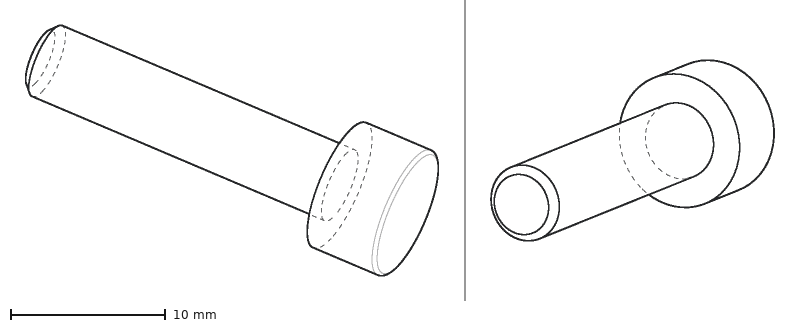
import cadquery as cq

total_length = 27.0
head_length = 5.0
head_diameter = 8.8
shank_diameter = 5.0
tip_chamfer = 0.5
head_edge_radius = 0.25

shank_length = total_length - head_length

shank = (
    cq.Workplane("YZ")
    .circle(shank_diameter / 2)
    .extrude(shank_length)
    .faces("<X")
    .chamfer(tip_chamfer)
)

head = (
    cq.Workplane("YZ")
    .workplane(offset=shank_length)
    .circle(head_diameter / 2)
    .extrude(head_length)
    .faces(">X")
    .edges()
    .fillet(head_edge_radius)
)

result = shank.union(head)